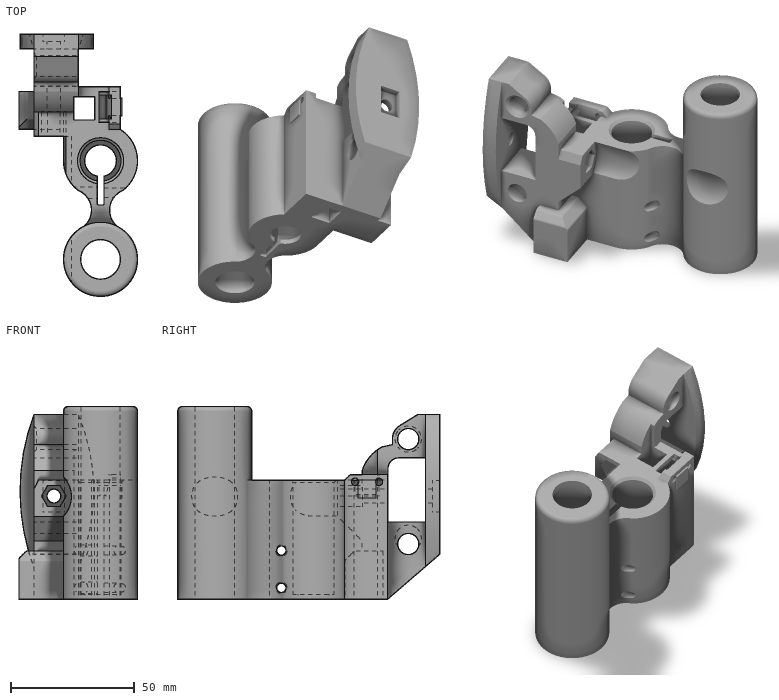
import cadquery as cq
import math


overall_width = 48.0
overall_length = 106.0

barrel_d = 30.0
barrel_r = barrel_d / 2
tube_height = 78.0
tube_bore_d = 15.9
tube_round = 2.0
clamp_y = 39.9
clamp_height = 48.2
neck_width = 7.4
neck_arc_r = 8.6
clamp_bore_d = 16.5
clamp_bore_chamfer = 1.1
clamp_lip_d = 12.7
clamp_lip_thickness = 2.0
slit_width = 2.7
slit_end_y = 22.1
slit_corner_round = 0.4
pinch_y = 26.9
pinch_heights = (4.7, 19.7)
pinch_clear_d = 4.6
pinch_tap_d = 3.7

body_right_x = 8.1
body_back_y = 69.9

arm_left_x = -26.9
arm_width = 17.9
arm_right_x = arm_left_x + arm_width
arm_top_z = 74.8
arm_top_front_y = 82.1
plate_front_y = 85.2
back_y = overall_length - barrel_r
slope_back_z = 18.2
arm_front_y = 59.6
ear_front_y = 49.7
ear_bottom_z = 33.5
ear_chamfer_width = 1.9
ear_chamfer_height = 3.6
pivot_y = 78.3
pivot_z = 64.8
pivot_lobe_r = 6.5
pivot_d = 8.5
pivot_chamfer = 1.1
lobe_angle = math.radians(60)
ledge_back_z = 62.6
ledge_front_y = 67.8
ledge_front_z = 61.7
shoulder_r = 17.1
shoulder_z = 52.2
lower_pivot_z = 22.4
lower_recess_d = 10.6
lower_recess_z = 24.7
lower_recess_depth = 0.1
window_front_y = 70.1
window_bottom_z = 31.3
window_top_z = 57.2
window_round = 4.2

plate_bottom_z = 12.9
plate_left_bulge = 5.6
plate_right_bulge = 6.3

screw_x = -18.9
screw_z = 41.8
screw_d = 5.5
nut_across_corners = 10.0
nut_depth = 10.0
recess_height = 12.7
recess_depth = 3.0

channel_x = -23.0
channel_z = 41.6
channel_r = 11.2

foot_left_x = barrel_r - overall_width
foot_front_y = 52.6
foot_back_y = 68.0
foot_height = 19.6
foot_side_chamfer = 3.1
foot_front_chamfer = 3.9
foot_edge_round = 1.3

shaft_left_x = -10.8
shaft_right_x = -2.4
shaft_front_y = 56.4
shaft_back_y = 65.7

tab_left_x = 3.5
tab_front_y = 52.6
tab_height = 2.2
tab_chamfer = 2.2
pocket_y = 61.6
pocket_length = 9.6
pocket_left_x = -0.5
pocket_floor_x = 2.1
pocket_right_x = 4.3
pocket_floor_z = 41.9
pocket_floor_rise = 0.4
pin_d = 3.0
pin_z = 47.5
pad_length = 7.2
pad_thickness = 0.6
pad_height = 7.2


def box(x0, x1, y0, y1, z0, z1):
    """Box between two limits along each axis."""
    return cq.Workplane("XY").box(x1 - x0, y1 - y0, z1 - z0, centered=False).translate((x0, y0, z0))


def rod_x(diameter, y, z, x0, x1):
    """Cylinder along X."""
    return cq.Workplane("YZ", origin=(x0, y, z)).circle(diameter / 2).extrude(x1 - x0)


def rod_y(diameter, x, z, y0, y1):
    """Cylinder along Y."""
    return cq.Workplane("XZ", origin=(x, y0, z)).circle(diameter / 2).extrude(y0 - y1)


def rod_z(diameter, y, z0, z1):
    """Cylinder along Z in the plane of the tube axis."""
    return cq.Workplane("XY", origin=(0, y, z0)).circle(diameter / 2).extrude(z1 - z0)


def tube():
    return rod_z(barrel_d, 0, 0, tube_height).faces(">Z").edges().fillet(tube_round)


def body():
    """Clamp, the block behind it and the web toward the tube, hollowed round on both sides."""
    clamp = rod_z(barrel_d, clamp_y, 0, clamp_height)
    left_wall = box(-barrel_r, 0, clamp_y, arm_front_y, 0, clamp_height)
    block = box(-barrel_r, body_right_x, clamp_y + barrel_r / 2, body_back_y, 0, clamp_height)
    arc_x = neck_width / 2 + neck_arc_r
    web_half = arc_x * barrel_r / (barrel_r + neck_arc_r)
    web = box(-web_half, web_half, barrel_r / 2, clamp_y - barrel_r / 2, 0, clamp_height)
    hollows = cq.Workplane("XY").pushPoints([(-arc_x, clamp_y / 2), (arc_x, clamp_y / 2)])
    hollows = hollows.circle(neck_arc_r).extrude(clamp_height)
    return clamp.union(left_wall).union(block).union(web).cut(hollows)


def arm():
    """Side profile with a lobe around the upper pivot hole and a round shoulder below it."""

    def lobe(angle):
        return (pivot_y - pivot_lobe_r * math.cos(angle), pivot_z + pivot_lobe_r * math.sin(angle))

    ear_slant = arm_front_y - ear_front_y
    return (
        cq.Workplane("YZ", origin=(arm_left_x, 0, 0))
        .moveTo(back_y, slope_back_z)
        .lineTo(back_y, arm_top_z)
        .lineTo(arm_top_front_y, arm_top_z)
        .lineTo(*lobe(lobe_angle))
        .threePointArc(lobe(lobe_angle / 2), lobe(0))
        .lineTo(pivot_y - pivot_lobe_r, ledge_back_z)
        .lineTo(ledge_front_y, ledge_front_z)
        .radiusArc((arm_front_y, shoulder_z), -shoulder_r)
        .lineTo(arm_front_y, clamp_height)
        .lineTo(ear_front_y, clamp_height)
        .lineTo(ear_front_y, ear_bottom_z)
        .lineTo(arm_front_y, ear_bottom_z - ear_slant)
        .lineTo(arm_front_y, 0)
        .lineTo(body_back_y, 0)
        .close()
        .extrude(arm_width)
    )


def ear_corner():
    """Wedge cut off the upper left edge of the ear."""
    return (
        cq.Workplane("XZ", origin=(0, arm_front_y, 0))
        .moveTo(arm_left_x, clamp_height)
        .lineTo(arm_left_x + ear_chamfer_width, clamp_height)
        .lineTo(arm_left_x, clamp_height - ear_chamfer_height)
        .close()
        .extrude(arm_front_y - ear_front_y)
    )


def plate():
    """Plate with bowed sides whose lower end follows the slope under the arm."""
    middle_z = (plate_bottom_z + arm_top_z) / 2
    slab = (
        cq.Workplane("XZ", origin=(0, back_y, 0))
        .moveTo(arm_left_x, plate_bottom_z)
        .threePointArc((arm_left_x - plate_left_bulge, middle_z), (arm_left_x, arm_top_z))
        .lineTo(arm_right_x, arm_top_z)
        .threePointArc((arm_right_x + plate_right_bulge, middle_z), (arm_right_x, plate_bottom_z))
        .close()
        .extrude(back_y - plate_front_y)
    )
    below_slope = (
        cq.Workplane("YZ")
        .moveTo(body_back_y, 0)
        .lineTo(back_y, slope_back_z)
        .lineTo(back_y, 0)
        .close()
        .extrude(overall_width, both=True)
    )
    return slab.cut(below_slope)


def foot():
    """Block beside the body, bevelled and softened on its left and front upper edges."""
    block = box(foot_left_x, 0, foot_front_y, foot_back_y, 0, foot_height)

    def bevel(side, size):
        bevelled = block.faces(">Z").edges(side).chamfer(size)
        softened = bevelled.faces(">Z").edges(side).fillet(foot_edge_round)
        return softened.faces(side).edges(">Z").fillet(foot_edge_round)

    return bevel("<X", foot_side_chamfer).intersect(bevel("<Y", foot_front_chamfer))


def tab():
    """Raised strip on the body with a bevelled front end."""
    top_z = clamp_height + tab_height
    return (
        cq.Workplane("YZ", origin=(tab_left_x, 0, 0))
        .moveTo(tab_front_y, clamp_height)
        .lineTo(tab_front_y + tab_chamfer, top_z)
        .lineTo(body_back_y, top_z)
        .lineTo(body_back_y, clamp_height)
        .close()
        .extrude(body_right_x - tab_left_x)
    )


def pad():
    """Thin pad on the right face of the body."""
    return box(
        body_right_x,
        body_right_x + pad_thickness,
        pocket_y - pad_length / 2,
        pocket_y + pad_length / 2,
        clamp_height - pad_height,
        clamp_height,
    )


def pivot_holes():
    """Two holes across the arm: a chamfered upper one and a lower one with an offset shallow recess."""
    upper = rod_x(pivot_d, pivot_y, pivot_z, arm_left_x, arm_right_x)
    mouth = cq.Workplane("YZ", origin=(arm_left_x, pivot_y, pivot_z))
    mouth = mouth.circle(pivot_d / 2 + pivot_chamfer)
    mouth = mouth.workplane(offset=pivot_chamfer).circle(pivot_d / 2).loft()
    lower = rod_x(pivot_d, pivot_y, lower_pivot_z, arm_left_x, arm_right_x)
    recess = rod_x(lower_recess_d, pivot_y, lower_recess_z, arm_left_x, arm_left_x + lower_recess_depth)
    return upper.union(mouth).union(lower).union(recess)


def arm_window():
    opening = box(arm_left_x, arm_right_x, window_front_y, plate_front_y, window_bottom_z, window_top_z)
    return opening.edges("|X and >Z and <Y").fillet(window_round)


def clamp_bore():
    """Stepped bore with a chamfered mouth, a slit toward the tube and two pinch screw holes."""
    bore = rod_z(clamp_bore_d, clamp_y, clamp_lip_thickness, clamp_height)
    bore = bore.union(rod_z(clamp_lip_d, clamp_y, 0, clamp_height))
    mouth = cq.Workplane("XY", origin=(0, clamp_y, clamp_height))
    mouth = mouth.circle(clamp_bore_d / 2 + clamp_bore_chamfer)
    mouth = mouth.workplane(offset=-clamp_bore_chamfer).circle(clamp_bore_d / 2).loft()
    slit = box(-slit_width / 2, slit_width / 2, slit_end_y, clamp_y, 0, clamp_height)
    slit = slit.edges("|Z and <Y").fillet(slit_corner_round)
    cutter = bore.union(mouth).union(slit)
    for z in pinch_heights:
        cutter = cutter.union(rod_x(pinch_clear_d, pinch_y, z, -barrel_r, 0))
        cutter = cutter.union(rod_x(pinch_tap_d, pinch_y, z, 0, barrel_r))
    return cutter


def screw_and_nut():
    """Through hole with a hexagonal pocket in the ear and a rectangular recess in the plate."""
    hole = rod_y(screw_d, screw_x, screw_z, ear_front_y, back_y)
    nut = cq.Workplane("XZ", origin=(screw_x, ear_front_y, screw_z)).polygon(6, nut_across_corners)
    nut = nut.extrude(-nut_depth)
    half_width = nut_across_corners * math.cos(math.pi / 6) / 2
    recess = box(
        screw_x - half_width,
        screw_x + half_width,
        back_y - recess_depth,
        back_y,
        screw_z - recess_height / 2,
        screw_z + recess_height / 2,
    )
    return hole.union(nut).union(recess)


def slanted_pocket():
    """Pocket with a crowned floor and a slanted side, with a pin hole along X at each end."""
    top_z = clamp_height + tab_height
    crown_x = (pocket_left_x + pocket_floor_x) / 2
    cutter = (
        cq.Workplane("XZ", origin=(0, pocket_y, 0))
        .moveTo(pocket_left_x, top_z)
        .lineTo(pocket_left_x, pocket_floor_z)
        .threePointArc((crown_x, pocket_floor_z + pocket_floor_rise), (pocket_floor_x, pocket_floor_z))
        .lineTo(pocket_right_x, top_z)
        .close()
        .extrude(pocket_length / 2, both=True)
    )
    for side in (-1, 1):
        y = pocket_y + side * pocket_length / 2
        cutter = cutter.union(rod_x(pin_d, y, pin_z, pocket_left_x, body_right_x))
    return cutter


channel = rod_y(2 * channel_r, channel_x, channel_z, -barrel_r, ear_front_y)
shaft = box(shaft_left_x, shaft_right_x, shaft_front_y, shaft_back_y, 0, arm_top_z)

result = tube().union(body()).cut(channel)
result = result.union(arm().cut(ear_corner())).union(plate()).union(foot()).union(tab()).union(pad())
result = result.cut(rod_z(tube_bore_d, 0, 0, tube_height))
for cutter in (clamp_bore(), pivot_holes(), arm_window(), screw_and_nut(), shaft, slanted_pocket()):
    result = result.cut(cutter)